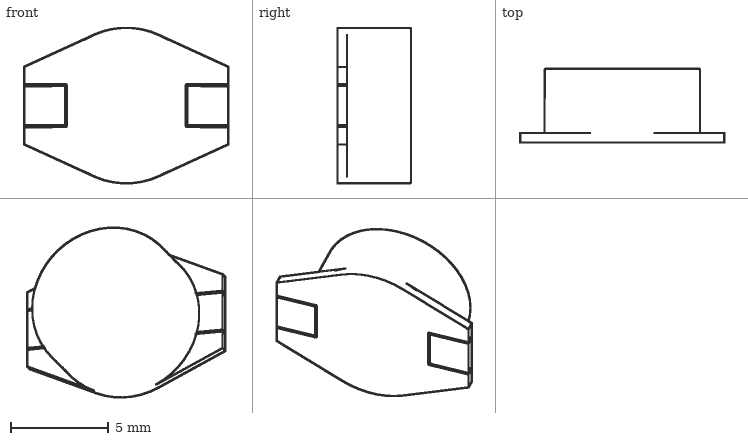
import cadquery as cq
import math

length = 10.5
depth = 3.8
body_radius = 4.0

plate_thickness = 0.5
end_half_height = 2.0

pad_length = 2.1
pad_height = 2.0
gap = 0.1

rim_radius = 0.1

half_length = length / 2


def extrude_back(profile, distance):
    """Extrude an XZ profile from the front face toward +Y."""
    return profile.extrude(-distance)


def make_body():
    """Round body with its back rim rounded."""
    body = extrude_back(cq.Workplane("XZ").circle(body_radius), depth)
    return body.faces(">Y").edges().fillet(rim_radius)


def make_plate():
    """Plate whose slanted sides run tangent to the round body."""
    corner_distance = math.hypot(half_length, end_half_height)
    corner_angle = math.atan2(end_half_height, half_length)
    tangent_angle = corner_angle + math.acos(body_radius / corner_distance)
    tangent_x = body_radius * math.cos(tangent_angle)
    tangent_z = body_radius * math.sin(tangent_angle)
    profile = (
        cq.Workplane("XZ")
        .moveTo(half_length, -end_half_height)
        .lineTo(half_length, end_half_height)
        .lineTo(tangent_x, tangent_z)
        .threePointArc((0, body_radius), (-tangent_x, tangent_z))
        .lineTo(-half_length, end_half_height)
        .lineTo(-half_length, -end_half_height)
        .lineTo(-tangent_x, -tangent_z)
        .threePointArc((0, -body_radius), (tangent_x, -tangent_z))
        .close()
    )
    return extrude_back(profile, plate_thickness)


def end_block(side, block_length, block_height):
    """Plate-thick block reaching inward from the end at side = -1 or +1."""
    center_x = side * (half_length - block_length / 2)
    profile = cq.Workplane("XZ").center(center_x, 0).rect(block_length, block_height)
    return extrude_back(profile, plate_thickness)


def make_gap(side):
    """U-shaped gap around a pad, rounded at its inner corners."""
    inner_edges = ">X" if side < 0 else "<X"
    notch = end_block(side, pad_length + gap, pad_height + 2 * gap)
    notch = notch.faces(inner_edges).edges("|Y").fillet(gap)
    return notch.cut(end_block(side, pad_length, pad_height))


result = make_body().union(make_plate())
for side in (-1, 1):
    result = result.cut(make_gap(side))